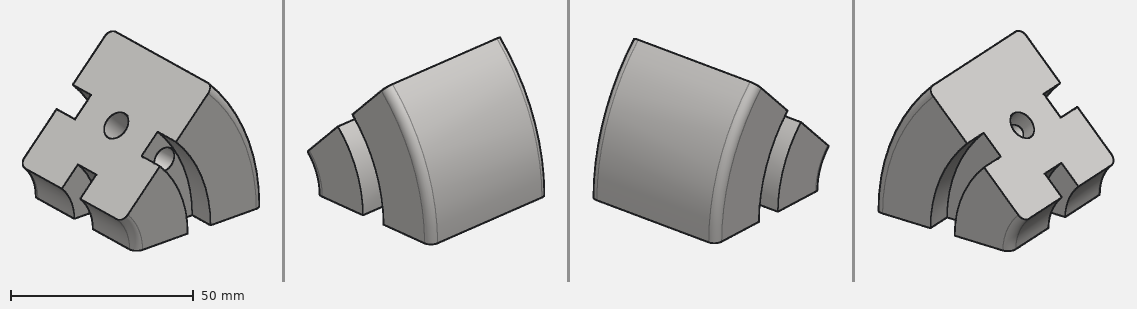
import cadquery as cq
import math

bend_angle = 45
outer_radius = 60.0
section_size = 45.0
corner_radius = 2.5
groove_size = 8.0
bore_diameter = groove_size
side_bore_diameter = 7.0
side_bore_depth = 8.15
side_bore_offset = 0.85

inner_radius = outer_radius - section_size
center_radius = (outer_radius + inner_radius) / 2


def bend_at(x, radius, draw_profile):
    """Sweep a profile centred at (x, radius) around the X axis, from +Y towards +Z."""
    profile = draw_profile(cq.Sketch())
    place = cq.Location(cq.Vector(x, radius, 0))
    placed = cq.Workplane("XY").placeSketch(profile.moved(place))
    return placed.revolve(bend_angle, (0, 0, 0), (1, 0, 0))


def rounded_square(sketch):
    return sketch.rect(section_size, section_size).vertices().fillet(corner_radius)


def side_groove(sketch):
    return sketch.rect(2 * groove_size, groove_size)


def inner_groove(sketch):
    return sketch.rect(groove_size, 2 * groove_size)


result = bend_at(0, center_radius, rounded_square)

for side in (-1, 1):
    result = result.cut(bend_at(side * section_size / 2, center_radius, side_groove))

result = result.cut(bend_at(0, inner_radius, inner_groove))

leg_length = center_radius * math.tan(math.radians(bend_angle / 2))
bend_radians = math.radians(bend_angle)
upper_end = (center_radius * math.cos(bend_radians), center_radius * math.sin(bend_radians))
bore_path = cq.Workplane("YZ").polyline([(center_radius, 0), (center_radius, leg_length), upper_end])
main_bore = (
    cq.Workplane("XY")
    .center(0, center_radius)
    .circle(bore_diameter / 2)
    .sweep(bore_path, transition="right")
)
result = result.cut(main_bore)

side_bore = (
    cq.Workplane("XY")
    .center(0, center_radius - side_bore_offset)
    .workplane(offset=-side_bore_depth)
    .transformed(rotate=(0, 90, 0))
    .circle(side_bore_diameter / 2)
    .extrude(section_size / 2)
    .rotate((0, 0, 0), (1, 0, 0), bend_angle)
)
result = result.cut(side_bore)